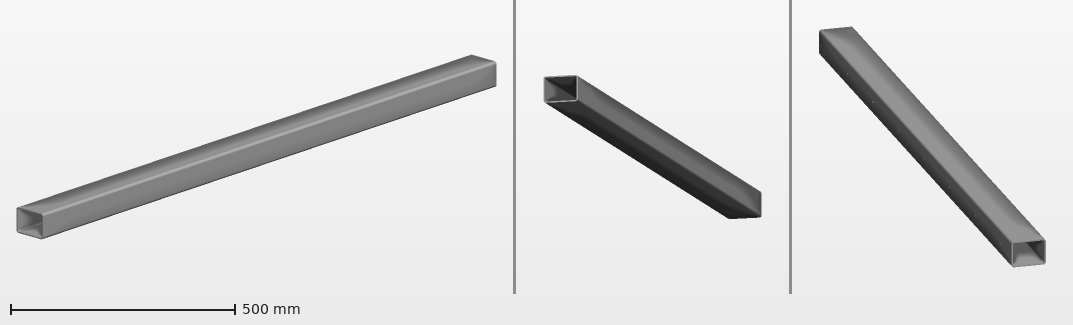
import cadquery as cq

length = 1500.0
height = 60.0
width = height * 4 / 3
wall = 3.0
outer_radius = 6.0
inner_radius = outer_radius - wall

hole_diameter = 5.0
hole_count = 8
hole_spacing = length * 2 / 15
end_to_first_hole = hole_spacing / 10


def rounded_bar(bar_width, bar_height, corner_radius):
    """Full-length bar along Y with rounded long edges."""
    return cq.Workplane("XY").box(bar_width, length, bar_height).edges("|Y").fillet(corner_radius)


def wall_hole(y):
    """Cylinder that crosses only the -X wall at the given Y."""
    return (
        cq.Workplane("YZ", origin=(-width / 2, y, 0))
        .circle(hole_diameter / 2)
        .extrude(2 * wall, both=True)
    )


tube = rounded_bar(width, height, outer_radius).cut(
    rounded_bar(width - 2 * wall, height - 2 * wall, inner_radius)
)

for index in range(hole_count):
    tube = tube.cut(wall_hole(length / 2 - end_to_first_hole - index * hole_spacing))

result = tube